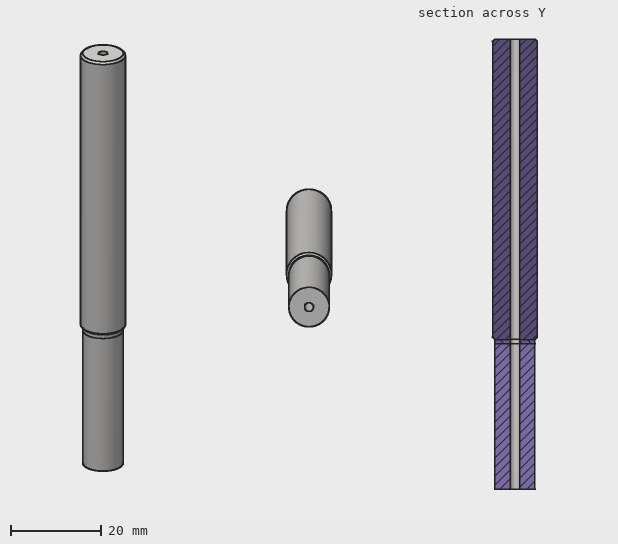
import cadquery as cq

total_length = 100.0
handle_diameter = 10.0
shank_diameter = 9.0
bore_diameter = 2.0
shank_length = 32.4
washer_thickness = 0.9

end_chamfer = (handle_diameter - shank_diameter) / 2

washer_base = shank_length
handle_base = washer_base + washer_thickness
handle_length = total_length - handle_base


def rod(diameter, length, base):
    """Solid round bar along Z, starting at height base."""
    return cq.Workplane("XY").workplane(offset=base).circle(diameter / 2).extrude(length)


def bored(body):
    """Cut the axial through bore shared by all the bodies."""
    return body.cut(rod(bore_diameter, total_length, 0))


def make_shank():
    """Plain lower tube."""
    return bored(rod(shank_diameter, shank_length, 0))


def make_washer():
    """Thin ring between the shank and the handle."""
    return bored(rod(shank_diameter, washer_thickness, washer_base))


def make_handle():
    """Thicker upper tube, chamfered around both outer ends."""
    bar = rod(handle_diameter, handle_length, handle_base)
    return bored(bar.faces("<Z or >Z").chamfer(end_chamfer))


shank = make_shank()
washer = make_washer()
handle = make_handle()

result = cq.Compound.makeCompound([shank.val(), washer.val(), handle.val()])